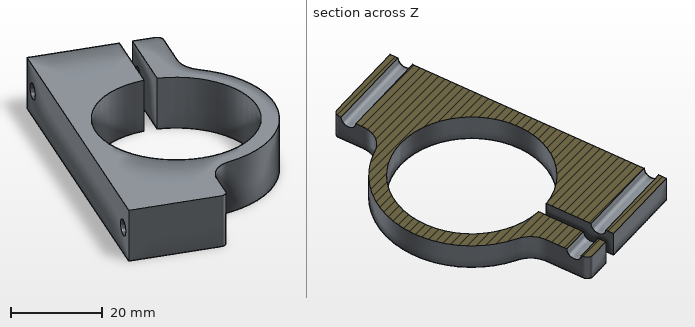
import cadquery as cq

length = 72.0
thickness = 12.7
depth = 45.0
ring_radius = depth / 2
bore_radius = 18.5
half_length = length / 2
base_y = -ring_radius

left_ear_top = 8.3
right_ear_top = 0.15
ear_blend_radius = 6.5
ear_corner_radius = 1.5

slot_top = 1.6
slot_bottom = -1.4

hole_diameter = 3.75
hole_edge_distance = 3.95


def block(x_min, x_max, y_min, y_max):
    """Full-thickness rectangular block between the given limits."""
    return cq.Workplane("XY").box(
        x_max - x_min, y_max - y_min, thickness, centered=False
    ).translate((x_min, y_min, 0))


def round_vertical_edges(body, x_limits, y_limits, radius):
    """Fillet the vertical edges whose position lies within the limits."""
    margin = 0.035
    selector = cq.selectors.BoxSelector(
        (x_limits[0] - margin, y_limits[0] - margin, -margin),
        (x_limits[1] + margin, y_limits[1] + margin, thickness + margin),
    )
    return body.edges("|Z").edges(selector).fillet(radius)


ring = cq.Workplane("XY").circle(ring_radius).extrude(thickness)
left_side = block(-half_length, 0, base_y, left_ear_top)
right_side = block(0, half_length, base_y, right_ear_top)
body = ring.union(left_side).union(right_side)

for side, ear_top in ((-1, left_ear_top), (1, right_ear_top)):
    ring_joint_x = side * (ring_radius**2 - ear_top**2) ** 0.5
    ear_level = (ear_top, ear_top)
    body = round_vertical_edges(body, (ring_joint_x, ring_joint_x), ear_level, ear_blend_radius)
    corner_x = side * half_length
    body = round_vertical_edges(body, (corner_x, corner_x), ear_level, ear_corner_radius)

body = body.cut(cq.Workplane("XY").circle(bore_radius).extrude(thickness))
body = body.cut(block(-half_length, 0, slot_bottom, slot_top))

hole_x = half_length - hole_edge_distance
holes = (
    cq.Workplane("XZ", origin=(0, ring_radius, thickness / 2))
    .pushPoints([(-hole_x, 0), (hole_x, 0)])
    .circle(hole_diameter / 2)
    .extrude(depth)
)
result = body.cut(holes)